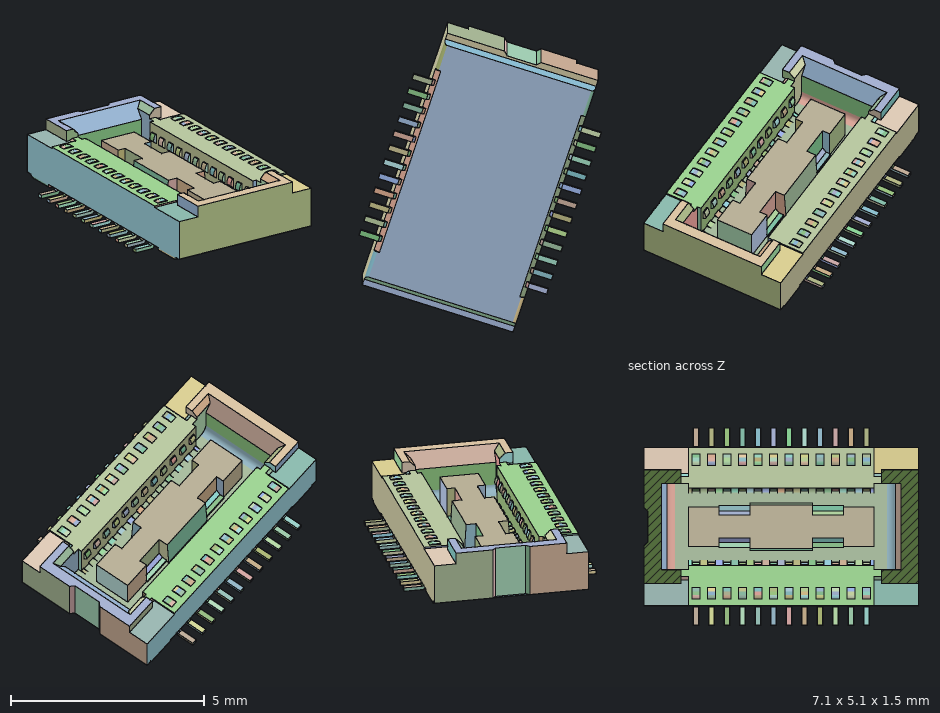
import cadquery as cq
import math


length = 7.1
width = 4.1
body_bottom = 0.14
corner_top = 1.2
row_top = 1.24
height = 1.5

row_half_length = 2.4
step_outer_y = 1.38
step_inner_y = 1.29
frame_inner_x = 2.585
frame_half_width = 1.47

floor_z = 0.25
cavity_half_length = 2.955
end_half_width = 1.11
row_wall_y = 1.0
end_fillet_radius = 0.22
row_fillet_radius = 0.185
row_fillet_run = 0.13
mouth_half_length = 3.26
mouth_half_width = 1.265
mouth_end_drop = 0.4
mouth_side_drop = mouth_half_width - end_half_width

island_top = 1.07
island_half_width = 0.51
middle_half_length = 0.8
middle_top_half_width = 0.56
middle_base_half_width = 0.61
recess_outer_x = 1.61
recess_wall_y = 0.3
ledge_inner_y = 0.405
ledge_outer_y = 0.54
ledge_z = floor_z + 0.05
ramp_rise = ledge_inner_y - recess_wall_y

notch_depth = 0.1
notch_half_outer = 0.5
notch_half_inner = notch_half_outer - notch_depth

plate_bottom = 0.02
plate_height = body_bottom - plate_bottom
plate_half_length = 3.39
plate_middle_half_length = 2.555
plate_fillet = 0.09
plate_side_inset = 0.14

contact_count = 12
contact_row_span = 4.4
contact_pitch = contact_row_span / (contact_count - 1)
contact_width = 0.2
lead_width = 0.15
lead_thickness = 0.1
lead_tip_y = 2.55
lead_bend_y = 2.07
lead_heel_y = 2.03
lead_root_y = 1.845
lead_rise = 0.07
crest_y = 1.725
crest_flat = 0.1
crest_height = 0.025
crest_radius = 0.21
crest_depth = 0.25
bump_width = 0.185
bump_bottom = 0.74
bump_tip_z = 0.795
bump_top = 0.995
bump_reach = 0.08
bump_ledge = 0.03
bump_radius = 0.25

overlap = 0.035


def block(x0, x1, y0, y1, z0, z1):
    """Axis-aligned box between two opposite corners."""
    return cq.Workplane("XY").box(x1 - x0, y1 - y0, z1 - z0, centered=False).translate((x0, y0, z0))


def centred_block(half_x, half_y, z0, z1):
    """Box centred on the Z axis."""
    return block(-half_x, half_x, -half_y, half_y, z0, z1)


def along_x(points, x0, x1):
    """Prism along X from a (Y, Z) outline."""
    return cq.Workplane("YZ", origin=(x0, 0, 0)).polyline(points).close().extrude(x1 - x0)


def along_y(points, half_y):
    """Prism along Y, centred on Y = 0, from an (X, Z) outline."""
    return cq.Workplane("XZ").polyline(points).close().extrude(half_y, both=True)


def mirrored(points):
    """Half outline followed by its mirror image, with the first coordinate negated."""
    return points + [(-a, b) for a, b in reversed(points)]


def both_sides(shape, plane):
    """Shape joined with its mirror image."""
    return shape.union(shape.mirror(plane))


def housing_block():
    """Outer block with raised contact rows and tall end frames."""
    row_outline = mirrored([(width / 2, body_bottom), (width / 2, row_top)])
    body = centred_block(length / 2, width / 2, body_bottom, corner_top)
    body = body.union(along_x(row_outline, -row_half_length, row_half_length))
    step = mirrored([(step_outer_y, corner_top), (step_inner_y, row_top)])
    body = body.union(along_x(step, -frame_inner_x, frame_inner_x))
    frame = block(frame_inner_x, length / 2, -frame_half_width, frame_half_width, body_bottom, height)
    return body.union(both_sides(frame, "YZ"))


def standoff_plate():
    """Thin plate under the housing: tapered ends, rounded sides, chamfered middle."""
    taper = mirrored([
        (plate_half_length, body_bottom),
        (plate_half_length - plate_height, plate_bottom),
    ])
    ends = centred_block(plate_half_length, width / 2, plate_bottom, body_bottom)
    ends = ends.edges("|X and <Z").fillet(plate_fillet).intersect(along_y(taper, width))
    ends = ends.cut(centred_block(plate_middle_half_length, width, plate_bottom, body_bottom))
    chamfered = mirrored([(width / 2, body_bottom), (width / 2 - plate_side_inset, plate_bottom)])
    return ends.union(along_x(chamfered, -plate_middle_half_length, plate_middle_half_length))


def cavity():
    """Open-topped cavity, wider at both ends and flared at the mouth of the end frames."""
    end_profile = mirrored([
        (cavity_half_length, floor_z),
        (cavity_half_length, height - mouth_end_drop),
        (mouth_half_length, height),
    ])
    side_profile = mirrored([
        (end_half_width, floor_z),
        (end_half_width, height - mouth_side_drop),
        (mouth_half_width, height),
    ])
    flared = along_y(end_profile, width).intersect(along_x(side_profile, -length, length))
    ends = flared.cut(centred_block(row_half_length, width, floor_z, height))
    return ends.union(centred_block(row_half_length, row_wall_y, floor_z, height))


def fillet_rise(radius, run):
    """Height gained over a horizontal run by an arc that starts level."""
    return radius - math.sqrt(radius**2 - run**2)


def concave_fillet(plane, wall, radius, run, half_length):
    """Rounded strip rising from the cavity floor to a wall on the positive side."""
    top = floor_z + fillet_rise(radius, run)
    strip = (
        cq.Workplane(plane)
        .moveTo(wall - run, floor_z)
        .radiusArc((wall, top), -radius)
        .lineTo(wall + overlap, top)
        .lineTo(wall + overlap, floor_z - overlap)
        .lineTo(wall - run, floor_z - overlap)
        .close()
    )
    return strip.extrude(half_length, both=True)


def island():
    """Central tongue with a drafted middle and four side recesses."""
    ends = centred_block(row_half_length, island_half_width, floor_z - overlap, island_top)
    recesses = block(
        middle_half_length, recess_outer_x, -island_half_width, island_half_width, floor_z, island_top
    )
    ends = ends.cut(both_sides(recesses, "YZ"))
    recessed_profile = mirrored([
        (ledge_outer_y, floor_z - overlap),
        (ledge_outer_y, ledge_z),
        (ledge_inner_y, ledge_z),
        (recess_wall_y, ledge_z + ramp_rise),
        (recess_wall_y, island_top),
    ])
    middle_profile = mirrored([
        (middle_base_half_width, floor_z - overlap),
        (middle_base_half_width, floor_z),
        (middle_top_half_width, island_top),
    ])
    recessed = along_x(recessed_profile, -recess_outer_x, recess_outer_x)
    middle = along_x(middle_profile, -middle_half_length, middle_half_length)
    return ends.union(recessed).union(middle)


def polarising_notch():
    """Bevelled full-height groove in the -X end."""
    outline = [
        (-length / 2, -notch_half_outer),
        (-length / 2 + notch_depth, -notch_half_inner),
        (-length / 2 + notch_depth, notch_half_inner),
        (-length / 2, notch_half_outer),
    ]
    return cq.Workplane("XY").workplane(offset=body_bottom).polyline(outline).close().extrude(height)


def contact():
    """Visible portions of one +Y contact: lead, rounded crest and contact bump."""
    lead_outline = [
        (lead_heel_y, 0),
        (lead_tip_y, 0),
        (lead_tip_y, lead_thickness),
        (lead_bend_y, lead_thickness),
        (lead_bend_y - lead_rise, lead_thickness + lead_rise),
        (lead_root_y, lead_thickness + lead_rise),
    ]
    lead = along_x(lead_outline, -lead_width / 2, lead_width / 2)
    crest_half = crest_flat / 2 + crest_radius
    crest_top = row_top + crest_height
    crest = block(
        -contact_width / 2, contact_width / 2,
        crest_y - crest_half, crest_y + crest_half,
        crest_top - crest_depth, crest_top,
    ).edges("|X and >Z").fillet(crest_radius)
    bump = (
        cq.Workplane("YZ")
        .moveTo(row_wall_y + overlap, bump_bottom)
        .lineTo(row_wall_y, bump_bottom)
        .lineTo(row_wall_y - bump_reach, bump_tip_z)
        .radiusArc((row_wall_y - bump_ledge, bump_top), bump_radius)
        .lineTo(row_wall_y + overlap, bump_top)
        .close()
        .extrude(bump_width / 2, both=True)
    )
    return [lead, crest, bump]


body = housing_block().union(standoff_plate()).cut(cavity()).cut(polarising_notch())
end_strip = concave_fillet("XZ", cavity_half_length, end_fillet_radius, end_fillet_radius, end_half_width)
row_strip = concave_fillet("YZ", row_wall_y, row_fillet_radius, row_fillet_run, row_half_length)
body = body.union(both_sides(end_strip, "YZ")).union(both_sides(row_strip, "XZ")).union(island())

row_centres = [(i - (contact_count - 1) / 2) * contact_pitch for i in range(contact_count)]
fillet_gap = block(
    -contact_width / 2, contact_width / 2,
    row_wall_y - row_fillet_run, row_wall_y,
    floor_z, floor_z + fillet_rise(row_fillet_radius, row_fillet_run),
)
for x in row_centres:
    gap = fillet_gap.translate((x, 0, 0))
    body = body.cut(gap).cut(gap.mirror("XZ"))
    for piece in contact():
        piece = piece.translate((x, 0, 0))
        body = body.union(piece).union(piece.mirror("XZ"))

result = body